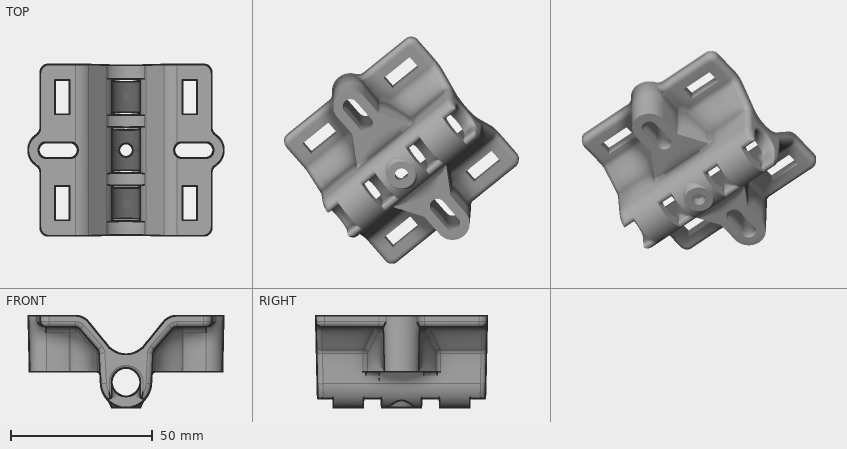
import cadquery as cq
import math

BORE_R = 5.0
HUB_R = 9.0
TOP_Z = 23.5

PLATE_LENGTH = 60.66
PLATE_WIDTH = 60.6
PLATE_CORNER_R = 3.0
PLATE_THICKNESS = 4.0
EDGE_ROUND_R = 2.0
DRAFT = 1.3

FLANK_ANGLE = math.radians(50.8)
UNDER_FLANK_ANGLE = math.radians(49.0)
BEND_R = 6.0
BEND_X = 17.9
VALLEY_Z = 9.9
VALLEY_EDGE_X = 6.43
WALL_DRAFT = math.radians(3.0)
WALL_FILLET_R = 2.0

PAD_R = 6.5
PAD_TIP_X = 34.6
PAD_X = PAD_TIP_X - PAD_R
PAD_FLARE_X = 20.0
PAD_ROOT_X = 9.0
PAD_ROOT_HALF_WIDTH = 13.3
PAD_BOTTOM_Z = 3.6
PAD_NECK_R = 3.0
PAD_FILLET_R = 1.9
PAD_FOOT_R = 1.0
PAD_FOOT_INNER_Y = 7.9
SLOT_R = 2.87
SLOT_OUTER_X = 28.1
SLOT_INNER_X = 19.8
SLOT_DRAFT = 0.5

WINDOW_WIDTH = 5.0
WINDOW_LENGTH = 12.0
WINDOW_X = 22.5
WINDOW_Y = 18.75

CHANNEL_HALF_WIDTH = BORE_R
CHANNEL_DRAFT = 2.0
CHANNEL_Y = 18.8
POCKET_END_LENGTH = 12.1
POCKET_MIDDLE_LENGTH = 15.65
POCKET_EDGE_R = 8.6
CRADLE_END_LENGTH = 11.2
CRADLE_MIDDLE_LENGTH = 14.7
LIP_Z = -5.9
BORE_ENTRY_R = 1.0

DRAIN_R = 2.35
BOSS_R = 5.0
BOSS_ROOT_R = 6.4
BOSS_ROOT_Z = -6.2

CLEARANCE = 5.0

FLANK_NORMAL = (-math.sin(FLANK_ANGLE), math.cos(FLANK_ANGLE))
WALL_NORMAL = (math.cos(WALL_DRAFT), -math.sin(WALL_DRAFT))
UNDER_FLANK_NORMAL = (-math.sin(UNDER_FLANK_ANGLE), math.cos(UNDER_FLANK_ANGLE))
BEND_CENTER = (BEND_X, TOP_Z - BEND_R)
UNDER_BEND_R = BEND_R - PLATE_THICKNESS


def bend_tangent_offset(normal, radius):
    """Distance from the origin of the line with this normal tangent to a bend arc."""
    return normal[0] * BEND_CENTER[0] + normal[1] * BEND_CENTER[1] + radius


FLANK_OFFSET = bend_tangent_offset(FLANK_NORMAL, BEND_R)
UNDER_FLANK_OFFSET = bend_tangent_offset(UNDER_FLANK_NORMAL, UNDER_BEND_R)


def offset_point(center, direction, distance):
    length = math.hypot(*direction)
    return (
        center[0] + direction[0] * distance / length,
        center[1] + direction[1] * distance / length,
    )


def mirror_x(point):
    return (-point[0], point[1])


def line_crossing(normal_a, offset_a, normal_b, offset_b):
    """Point p with normal_a . p = offset_a and normal_b . p = offset_b."""
    det = normal_a[0] * normal_b[1] - normal_a[1] * normal_b[0]
    return (
        (offset_a * normal_b[1] - offset_b * normal_a[1]) / det,
        (normal_a[0] * offset_b - normal_b[0] * offset_a) / det,
    )


def between(direction_a, direction_b):
    return (direction_a[0] + direction_b[0], direction_a[1] + direction_b[1])


UP = (0.0, 1.0)
INWARD = (-1.0, 0.0)
ROLL_CENTER = line_crossing(
    (1, 0), CHANNEL_HALF_WIDTH + POCKET_EDGE_R,
    FLANK_NORMAL, FLANK_OFFSET - POCKET_EDGE_R,
)
ROLL_START = offset_point(ROLL_CENTER, INWARD, POCKET_EDGE_R)
ROLL_MIDDLE = offset_point(ROLL_CENTER, between(INWARD, FLANK_NORMAL), POCKET_EDGE_R)
ROLL_END = offset_point(ROLL_CENTER, FLANK_NORMAL, POCKET_EDGE_R)
EDGE_RISE = math.sqrt(POCKET_EDGE_R**2 - (VALLEY_EDGE_X - ROLL_CENTER[0]) ** 2)
VALLEY_EDGE = (VALLEY_EDGE_X, ROLL_CENTER[1] + EDGE_RISE)
EDGE_DIRECTION = (VALLEY_EDGE_X - ROLL_CENTER[0], EDGE_RISE)
EDGE_MIDDLE = offset_point(
    ROLL_CENTER,
    between(offset_point((0, 0), EDGE_DIRECTION, 1), FLANK_NORMAL),
    POCKET_EDGE_R,
)
BEND_START = offset_point(BEND_CENTER, FLANK_NORMAL, BEND_R)
BEND_MIDDLE = offset_point(BEND_CENTER, between(FLANK_NORMAL, UP), BEND_R)
BEND_END = (BEND_X, TOP_Z)


def nearest(point):
    return cq.selectors.NearestToPointSelector(point)


def xz_prism(sketch, length):
    """Extrude an XZ outline symmetrically about the XZ plane."""
    return sketch.close().extrude(length / 2, both=True)


def add_trough_line(sketch):
    """From the left bend end, down the valley and up to the right bend end."""
    return (
        sketch.threePointArc(mirror_x(BEND_MIDDLE), mirror_x(BEND_START))
        .lineTo(*mirror_x(ROLL_END))
        .threePointArc(mirror_x(EDGE_MIDDLE), mirror_x(VALLEY_EDGE))
        .threePointArc((0, VALLEY_Z), VALLEY_EDGE)
        .threePointArc(EDGE_MIDDLE, ROLL_END)
        .lineTo(*BEND_START)
        .threePointArc(BEND_MIDDLE, BEND_END)
    )


def make_section():
    """Bracket cross-section: two flanges, V flanks and the round hub."""
    reach = PAD_TIP_X + CLEARANCE
    under_z = TOP_Z - PLATE_THICKNESS
    under_bend = [
        (BEND_X, under_z),
        offset_point(BEND_CENTER, between(UNDER_FLANK_NORMAL, UP), UNDER_BEND_R),
        offset_point(BEND_CENTER, UNDER_FLANK_NORMAL, UNDER_BEND_R),
    ]
    fillet_center = line_crossing(
        UNDER_FLANK_NORMAL, UNDER_FLANK_OFFSET - WALL_FILLET_R,
        WALL_NORMAL, HUB_R + WALL_FILLET_R,
    )
    to_wall = (-WALL_NORMAL[0], -WALL_NORMAL[1])
    wall_fillet = [
        offset_point(fillet_center, UNDER_FLANK_NORMAL, WALL_FILLET_R),
        offset_point(fillet_center, between(UNDER_FLANK_NORMAL, to_wall), WALL_FILLET_R),
        offset_point(fillet_center, to_wall, WALL_FILLET_R),
    ]
    hub_tangent = offset_point((0, 0), WALL_NORMAL, HUB_R)

    sketch = cq.Workplane("XZ").moveTo(-reach, TOP_Z).lineTo(-BEND_X, TOP_Z)
    sketch = add_trough_line(sketch)
    sketch = (
        sketch.lineTo(reach, TOP_Z)
        .lineTo(reach, under_z)
        .lineTo(*under_bend[0])
        .threePointArc(under_bend[1], under_bend[2])
        .lineTo(*wall_fillet[0])
        .threePointArc(wall_fillet[1], wall_fillet[2])
        .lineTo(*hub_tangent)
        .threePointArc((0, -HUB_R), mirror_x(hub_tangent))
        .lineTo(*mirror_x(wall_fillet[2]))
        .threePointArc(mirror_x(wall_fillet[1]), mirror_x(wall_fillet[0]))
        .lineTo(*mirror_x(under_bend[2]))
        .threePointArc(mirror_x(under_bend[1]), mirror_x(under_bend[0]))
        .lineTo(-reach, under_z)
    )
    return xz_prism(sketch, PLATE_LENGTH + 2 * CLEARANCE)


def make_plan():
    """Plate outline with rounded ears, narrowing downward by the end draft."""
    depth = TOP_Z + HUB_R + CLEARANCE
    plate = cq.Workplane("XY").rect(PLATE_WIDTH, PLATE_LENGTH).extrude(-depth)
    plate = plate.edges("|Z").fillet(PLATE_CORNER_R)
    ears = (
        cq.Workplane("XY")
        .pushPoints([(PAD_X, 0), (-PAD_X, 0)])
        .circle(PAD_R)
        .extrude(-depth)
    )
    plate = plate.union(ears)
    necks = cq.selectors.BoxSelector(
        (-PAD_TIP_X, -PAD_R, -depth), (PAD_TIP_X, PAD_R, 0)
    )
    plate = plate.edges("|Z").edges(necks).fillet(PAD_NECK_R)
    outline = plate.faces(">Z").wires().toPending()
    tapered = outline.extrude(-depth, taper=DRAFT, combine=False)
    return tapered.translate((0, 0, TOP_Z))


def make_body():
    """Trough section trimmed to the plate outline, with its lower rim rounded."""
    body = make_section().intersect(make_plan())
    rim_seed = nearest((0, -PLATE_LENGTH / 2, -HUB_R))
    return body.edges(rim_seed).fillet(EDGE_ROUND_R)


def make_pad():
    """Screw pad on the -X side, flaring out to meet the hub wall."""
    depth = TOP_Z - PAD_BOTTOM_Z
    return (
        cq.Workplane("XY")
        .workplane(offset=TOP_Z)
        .moveTo(0, PAD_ROOT_HALF_WIDTH)
        .lineTo(-PAD_ROOT_X, PAD_ROOT_HALF_WIDTH)
        .lineTo(-PAD_FLARE_X, PAD_R)
        .lineTo(-PAD_X, PAD_R)
        .threePointArc((-PAD_TIP_X, 0), (-PAD_X, -PAD_R))
        .lineTo(-PAD_FLARE_X, -PAD_R)
        .lineTo(-PAD_ROOT_X, -PAD_ROOT_HALF_WIDTH)
        .lineTo(0, -PAD_ROOT_HALF_WIDTH)
        .close()
        .extrude(-depth, taper=DRAFT)
    )


def make_trough_void():
    """Everything above the trough surface between the flanges."""
    ceiling = TOP_Z + CLEARANCE
    sketch = cq.Workplane("XZ").moveTo(-BEND_X, ceiling).lineTo(-BEND_X, TOP_Z)
    sketch = add_trough_line(sketch).lineTo(BEND_X, ceiling)
    return xz_prism(sketch, PLATE_LENGTH + 2 * CLEARANCE)


def make_pad_blends():
    """Concave blends joining the -X pad to the plate, flank and hub wall."""
    section = make_section()
    joined = section.union(make_pad()).cut(make_trough_void())
    foot_seed = nearest((-HUB_R, 0, PAD_BOTTOM_Z))
    seam_seed = nearest((-PAD_TIP_X, 0, TOP_Z - PLATE_THICKNESS))
    seam = joined.edges(seam_seed).fillet(PAD_FILLET_R)
    feet = joined.edges(foot_seed).fillet(PAD_FOOT_R)
    feet_middle = cq.Workplane("XY").box(2 * PAD_X, 2 * PAD_FOOT_INNER_Y, 2 * PAD_BOTTOM_Z)
    blends = seam.cut(joined).union(feet.cut(joined).cut(feet_middle))
    limit = cq.Workplane("XY").box(PLATE_WIDTH - 2 * EDGE_ROUND_R, PLATE_LENGTH, 2 * TOP_Z)
    return blends.intersect(limit)


def y_wedge(center_y, length, height):
    """Full-width block reaching up or down from the bore axis, wider at its upper end."""
    half = length / 2
    far_half = half + height * math.tan(math.radians(CHANNEL_DRAFT))
    return (
        cq.Workplane("YZ")
        .polyline([
            (center_y - half, 0),
            (center_y + half, 0),
            (center_y + far_half, height),
            (center_y - far_half, height),
        ])
        .close()
        .extrude(PLATE_WIDTH / 2, both=True)
    )


def three_wedges(outer_y, outer_length, middle_length, height):
    """A middle wedge and a matching one on each side of it."""
    wedges = y_wedge(0, middle_length, height)
    for center_y in (-outer_y, outer_y):
        wedges = wedges.union(y_wedge(center_y, outer_length, height))
    return wedges


def make_pockets():
    """Three pockets open to the trough, their long edges rolled into the flanks."""
    ceiling = TOP_Z + CLEARANCE
    sketch = (
        cq.Workplane("XZ")
        .moveTo(-CHANNEL_HALF_WIDTH, 0)
        .lineTo(CHANNEL_HALF_WIDTH, 0)
        .lineTo(*ROLL_START)
        .threePointArc(ROLL_MIDDLE, ROLL_END)
        .lineTo(ROLL_END[0], ceiling)
        .lineTo(-ROLL_END[0], ceiling)
        .lineTo(*mirror_x(ROLL_END))
        .threePointArc(mirror_x(ROLL_MIDDLE), mirror_x(ROLL_START))
    )
    channel = xz_prism(sketch, PLATE_LENGTH)
    return channel.intersect(
        three_wedges(CHANNEL_Y, POCKET_END_LENGTH, POCKET_MIDDLE_LENGTH, ceiling)
    )


def make_gaps():
    """Gaps below the bore that leave round-tipped lips, between three cradles."""
    floor = -HUB_R - CLEARANCE
    half_sum = CHANNEL_HALF_WIDTH + LIP_Z + HUB_R
    tip_r = -half_sum + math.sqrt(half_sum**2 + HUB_R**2 - CHANNEL_HALF_WIDTH**2 - LIP_Z**2)
    tip_center = (CHANNEL_HALF_WIDTH + tip_r, LIP_Z + tip_r)
    tip_start = (CHANNEL_HALF_WIDTH, tip_center[1])
    tip_middle = (tip_center[0], LIP_Z)
    tip_end = offset_point((0, 0), tip_center, HUB_R)
    reach_point = (tip_end[0] + CLEARANCE, tip_end[1])
    sketch = (
        cq.Workplane("XZ")
        .moveTo(-CHANNEL_HALF_WIDTH, 0)
        .lineTo(CHANNEL_HALF_WIDTH, 0)
        .lineTo(*tip_start)
        .threePointArc(tip_middle, tip_end)
        .lineTo(*reach_point)
        .lineTo(reach_point[0], floor)
        .lineTo(-reach_point[0], floor)
        .lineTo(*mirror_x(reach_point))
        .lineTo(*mirror_x(tip_end))
        .threePointArc(mirror_x(tip_middle), mirror_x(tip_start))
    )
    channel = xz_prism(sketch, PLATE_LENGTH + 2 * CLEARANCE)
    cradles = three_wedges(CHANNEL_Y, CRADLE_END_LENGTH, CRADLE_MIDDLE_LENGTH, floor)
    return channel.cut(cradles)


def make_bore():
    """Rod bore along the whole part."""
    length = PLATE_LENGTH / 2 + CLEARANCE
    return cq.Workplane("XZ").circle(BORE_R).extrude(length, both=True)


def make_entry_round(side):
    """Waste outside a round-over of the bore and gap edges; side is -1 or 1 along Y."""
    slope = math.tan(math.radians(DRAFT))
    base_z = -HUB_R - CLEARANCE
    crown_z = HUB_R
    face_base_y = PLATE_LENGTH / 2 - (TOP_Z - base_z) * slope
    face_crown_y = PLATE_LENGTH / 2 - (TOP_Z - crown_z) * slope
    inner_y = face_base_y - 2 * BORE_ENTRY_R
    block = (
        cq.Workplane("YZ")
        .polyline([
            (side * inner_y, base_z),
            (side * face_base_y, base_z),
            (side * face_crown_y, crown_z),
            (side * inner_y, crown_z),
        ])
        .close()
        .extrude(HUB_R, both=True)
    )
    gap_height = -base_z
    gap = cq.Workplane("XY").box(2 * CHANNEL_HALF_WIDTH, 2 * PLATE_LENGTH, 2 * gap_height)
    gap = gap.translate((0, 0, -gap_height))
    frame = block.cut(make_bore()).cut(gap)
    face_y = PLATE_LENGTH / 2 - (TOP_Z - BORE_R) * slope
    rounded = frame.edges(nearest((0, side * face_y, BORE_R))).fillet(BORE_ENTRY_R)
    return frame.cut(rounded)


def make_drain_boss():
    """Conical boss under the middle cradle."""
    return (
        cq.Workplane("XZ")
        .moveTo(0, -HUB_R)
        .lineTo(BOSS_R, -HUB_R)
        .lineTo(BOSS_ROOT_R, BOSS_ROOT_Z)
        .lineTo(0, BOSS_ROOT_Z)
        .close()
        .revolve(360, (0, 0, 0), (0, 1, 0))
    )


def make_pad_slots():
    """Oblong screw holes through the pads, narrowing downward."""
    length = SLOT_OUTER_X - SLOT_INNER_X + 2 * SLOT_R
    center_x = (SLOT_OUTER_X + SLOT_INNER_X) / 2
    return (
        cq.Workplane("XY")
        .workplane(offset=TOP_Z)
        .pushPoints([(-center_x, 0), (center_x, 0)])
        .slot2D(length, 2 * SLOT_R)
        .extrude(-TOP_Z, taper=SLOT_DRAFT)
    )


def make_windows():
    """Four rectangular strap windows through the flanges."""
    return (
        cq.Workplane("XY")
        .workplane(offset=TOP_Z)
        .rect(2 * WINDOW_X, 2 * WINDOW_Y, forConstruction=True)
        .vertices()
        .rect(WINDOW_WIDTH, WINDOW_LENGTH)
        .extrude(-2 * PLATE_THICKNESS)
    )


def make_drain_hole():
    """Hole from the bore down through the boss."""
    return cq.Workplane("XY").circle(DRAIN_R).extrude(-HUB_R)


def make_bracket():
    """Join the body, pads and boss, then cut all openings."""
    pad = make_pad().union(make_pad_blends())
    bracket = make_body()
    for solid in (pad, pad.mirror("YZ"), make_drain_boss()):
        bracket = bracket.union(solid)
    cutters = (
        make_trough_void(),
        make_pockets(),
        make_gaps(),
        make_bore(),
        make_entry_round(-1),
        make_entry_round(1),
        make_drain_hole(),
        make_pad_slots(),
        make_windows(),
    )
    for cutter in cutters:
        bracket = bracket.cut(cutter)
    return bracket


result = make_bracket()